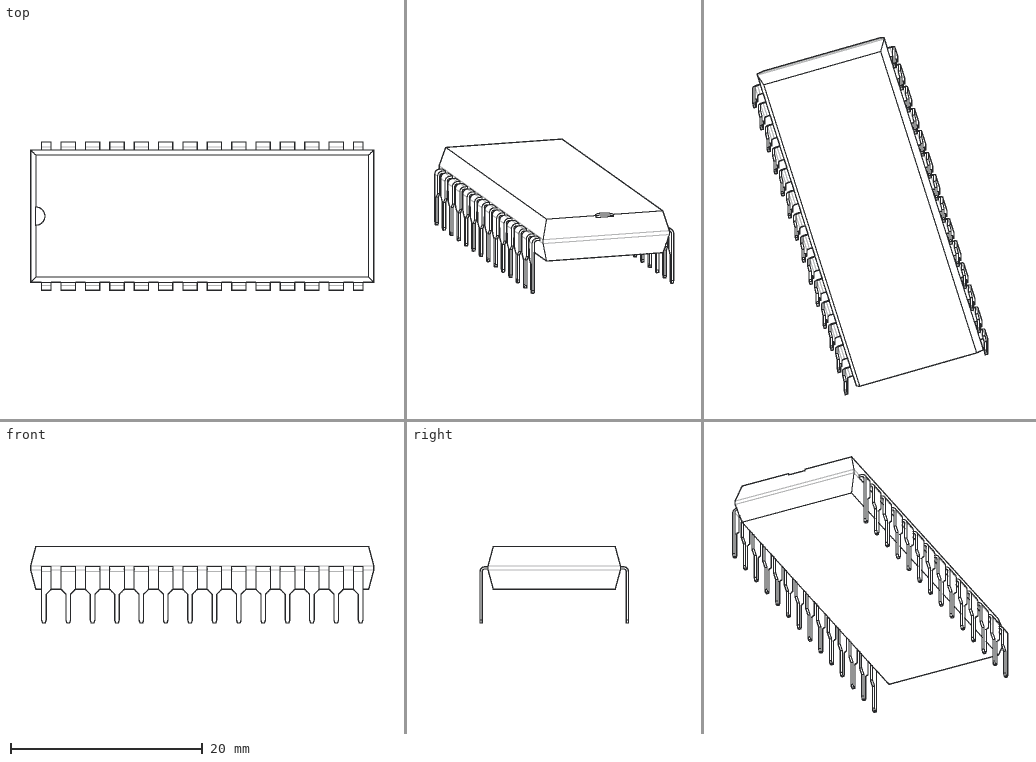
import cadquery as cq
import math


body_length = 35.8
body_width = 13.82
body_bottom = 0.5
body_top = 5.0
band_height = 0.42
draft_angle = 15.0
parting_height = (body_bottom + body_top) / 2
draft_height = (body_top - body_bottom - band_height) / 2
draft_inset = draft_height * math.tan(math.radians(draft_angle))

notch_radius = 0.95
notch_depth = 0.2

leads_per_side = 14
lead_pitch = 2.54
row_spacing = 15.24
lead_thickness = 0.25
lead_outer_radius = 0.52
lead_embed = 0.5
shoulder_width = 1.52
shoulder_top = 0.5
shoulder_bottom = 0.0
shank_width = 0.5
tip_bottom = -3.0
tip_height = 0.3
tip_width = 0.3


def make_body():
    """Straight parting band with a drafted half above and below it."""
    band = cq.Workplane("XY", origin=(0, 0, parting_height - band_height / 2))
    band = band.rect(body_length, body_width).extrude(band_height)
    upper = band.faces(">Z").wires().toPending().extrude(draft_height, taper=draft_angle, combine=False)
    lower = upper.mirror("XY", (0, 0, parting_height))
    return band.union(upper).union(lower)


def make_notch():
    """Shallow cylinder centred on the -X edge of the top face."""
    top_edge_x = -body_length / 2 + draft_inset
    notch_base = cq.Workplane("XY", origin=(top_edge_x, 0, body_top - notch_depth))
    return notch_base.circle(notch_radius).extrude(notch_depth)


def make_bent_strip(length):
    """Bent sheet on the -Y side, running along X for the given length."""
    outer_y = -(row_spacing + lead_thickness) / 2
    inner_y = outer_y + lead_thickness
    root_y = -body_width / 2 + lead_embed
    upper_z = parting_height + lead_thickness / 2
    lower_z = upper_z - lead_thickness
    bend_y = outer_y + lead_outer_radius
    bend_z = upper_z - lead_outer_radius
    inner_radius = lead_outer_radius - lead_thickness
    return (
        cq.Workplane("YZ", origin=(-length / 2, 0, 0))
        .moveTo(root_y, upper_z)
        .lineTo(bend_y, upper_z)
        .radiusArc((outer_y, bend_z), -lead_outer_radius)
        .lineTo(outer_y, tip_bottom)
        .lineTo(inner_y, tip_bottom)
        .lineTo(inner_y, bend_z)
        .radiusArc((bend_y, lower_z), inner_radius)
        .lineTo(root_y, lower_z)
        .close()
        .extrude(length)
    )


def lead_half_outline(side, shoulder_half):
    """Outline in X and Z of one half of a lead, from its top to its tip, on the given side (-1 or +1)."""
    shank_half = shank_width / 2
    return [
        (side * shoulder_half, body_top),
        (side * shoulder_half, shoulder_top),
        (side * shank_half, shoulder_bottom),
        (side * shank_half, tip_bottom + tip_height),
        (side * tip_width / 2, tip_bottom),
    ]


def make_lead(left_half, right_half):
    """One lead on the -Y side with its shank at X = 0 and the given half-widths to -X and +X."""
    outline = lead_half_outline(-1, left_half) + lead_half_outline(1, right_half)[::-1]
    profile = cq.Workplane("XZ").polyline(outline).close().extrude(row_spacing)
    return make_bent_strip(shoulder_width).intersect(profile)


def make_lead_row():
    """Leads along the -Y side; the two end leads have no outer shoulder."""
    shoulder_half = shoulder_width / 2
    shank_half = shank_width / 2
    leads = []
    for index in range(leads_per_side):
        left_half = shank_half if index == 0 else shoulder_half
        right_half = shank_half if index == leads_per_side - 1 else shoulder_half
        lead_x = (index - (leads_per_side - 1) / 2) * lead_pitch
        leads.append(make_lead(left_half, right_half).translate((lead_x, 0, 0)))
    return leads


result = make_body().cut(make_notch())
for lead in make_lead_row():
    result = result.union(lead).union(lead.mirror("XZ"))